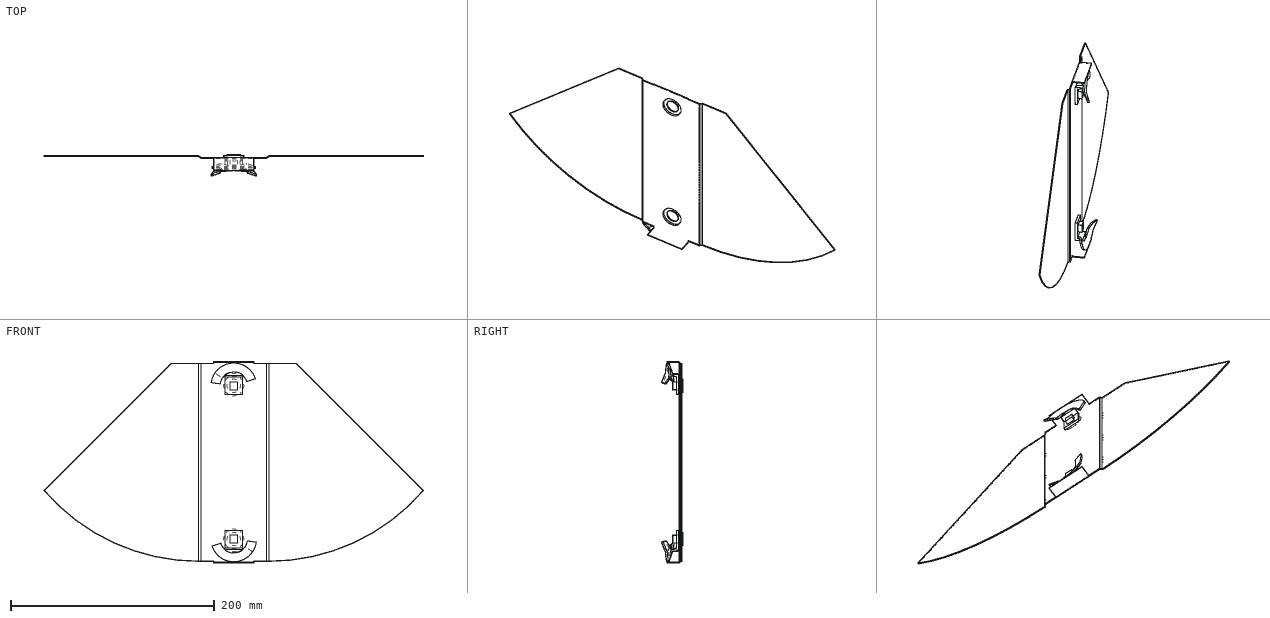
import cadquery as cq
import math

WIDTH = 373.5
TOTAL_HEIGHT = 198.5
SHEET = 1.0
JOGGLE = 2.0
PANEL_HALF = 32.5
BEND_RADIUS = 1.68
TOP_HALF = 61.5

FLANGE_WIDTH = 39.5
FLANGE_DEPTH = 12.7

HALF_HEIGHT = TOTAL_HEIGHT / 2
EDGE_Z = HALF_HEIGHT - BEND_RADIUS
WING_START = PANEL_HALF + JOGGLE
CORNER_Z = EDGE_Z - (WIDTH / 2 - TOP_HALF)

STUD_Z = 75.5
STUD_SIDE = 8.0
STUD_FRONT = 6.5
WASHER_RADIUS = 9.9
WASHER_HEIGHT = 2.0
RIVET_RADIUS = 6.55
RIVET_HEIGHT = 1.0

LEVER_SHEET = 2.2
LEVER_GAP = 0.5
LEVER_SIDE = 16.8
NECK_TOP = 12.5
NECK_ROOT = 8.78
NECK_REACH = 7.5
NECK_END = 14.0
NECK_RADIUS = 2.5
BLADE_INNER = 13.5
BLADE_OUTER = 22.5
BLADE_THICKNESS = 2.0
BLADE_SLOPE = 0.34
BLADE_BASE = 4.5
BLADE_PITCH = 11.0
BLADE_START = 18.0
FOLD_ANGLE = 146.0
TAB_END = 172.0
TAB_PITCH = 52.3


def sheet_blank():
    """Stepped sheet, cut to the fan-shaped outline."""
    far = WIDTH / 2
    front = [(-far, JOGGLE), (-WING_START, JOGGLE), (-PANEL_HALF, 0),
             (PANEL_HALF, 0), (WING_START, JOGGLE), (far, JOGGLE)]
    back = [(x, y + SHEET) for x, y in reversed(front)]
    stepped = (
        cq.Workplane("XY")
        .workplane(offset=-HALF_HEIGHT)
        .polyline(front + back)
        .close()
        .extrude(TOTAL_HEIGHT)
    )

    run = far - WING_START
    drop = CORNER_Z + EDGE_Z
    arc_radius = (run**2 + drop**2) / (2 * drop)
    half_angle = math.asin(run / arc_radius) / 2
    mid_x = WING_START + arc_radius * math.sin(half_angle)
    mid_z = -EDGE_Z + arc_radius * (1 - math.cos(half_angle))
    outline = (
        cq.Workplane("XZ")
        .moveTo(-TOP_HALF, EDGE_Z)
        .lineTo(TOP_HALF, EDGE_Z)
        .lineTo(far, CORNER_Z)
        .threePointArc((mid_x, mid_z), (WING_START, -EDGE_Z))
        .lineTo(-WING_START, -EDGE_Z)
        .threePointArc((-mid_x, mid_z), (-far, CORNER_Z))
        .close()
        .extrude(WIDTH, both=True)
    )
    return stepped.intersect(outline)


def top_flange():
    """Flange bent forward from the top edge of the centre panel."""
    tip = SHEET - FLANGE_DEPTH
    inner_radius = BEND_RADIUS - SHEET
    bend_y = SHEET - BEND_RADIUS
    diagonal = math.sqrt(0.5)
    return (
        cq.Workplane("YZ")
        .workplane(offset=-FLANGE_WIDTH / 2)
        .moveTo(SHEET, EDGE_Z)
        .threePointArc(
            (bend_y + BEND_RADIUS * diagonal, EDGE_Z + BEND_RADIUS * diagonal),
            (bend_y, HALF_HEIGHT),
        )
        .lineTo(tip, HALF_HEIGHT)
        .lineTo(tip, HALF_HEIGHT - SHEET)
        .lineTo(bend_y, HALF_HEIGHT - SHEET)
        .threePointArc(
            (bend_y + inner_radius * diagonal, EDGE_Z + inner_radius * diagonal),
            (0, EDGE_Z),
        )
        .close()
        .extrude(FLANGE_WIDTH)
    )


def make_top_stud():
    """Square stud through panel and lever, with a round washer and rivet head behind."""
    washer_back = SHEET + WASHER_HEIGHT
    square = (
        cq.Workplane("XY")
        .box(STUD_SIDE, STUD_FRONT + SHEET, STUD_SIDE)
        .translate((0, (SHEET - STUD_FRONT) / 2, STUD_Z))
    )
    washer = (
        cq.Workplane("XZ", origin=(0, SHEET, STUD_Z))
        .circle(WASHER_RADIUS)
        .extrude(-WASHER_HEIGHT)
    )
    rivet = (
        cq.Workplane("XZ", origin=(0, washer_back, STUD_Z))
        .circle(RIVET_RADIUS)
        .extrude(-RIVET_HEIGHT)
    )
    return square.union(washer).union(rivet)


def blade_section(start, end, pitch, base):
    """Sloping ring segment that climbs forward around the stud axis."""
    rise = pitch * (end - start) / 360
    radial = BLADE_OUTER - BLADE_INNER
    lift = BLADE_SLOPE * radial
    path = cq.Wire.makeHelix(pitch, rise, BLADE_INNER)
    return (
        cq.Workplane("XZ")
        .polyline([
            (BLADE_INNER, 0),
            (BLADE_OUTER, lift),
            (BLADE_OUTER, lift + BLADE_THICKNESS),
            (BLADE_INNER, BLADE_THICKNESS),
        ])
        .close()
        .sweep(cq.Workplane(path), isFrenet=True)
        .rotate((0, 0, 0), (0, 0, 1), start)
        .translate((0, 0, base))
    )


def make_top_lever():
    """Square plate, neck and twisted blade, formed from one strip.

    Built lying on its back with Z along the stud axis, then stood upright.
    """
    half = LEVER_SIDE / 2
    underside = NECK_TOP - LEVER_SHEET
    blade_back = BLADE_BASE + BLADE_PITCH * (90 - BLADE_START) / 360
    blade_front = blade_back + BLADE_THICKNESS
    neck = (
        cq.Workplane("YZ")
        .workplane(offset=-half)
        .polyline([
            (-half, 0),
            (NECK_TOP, 0),
            (NECK_TOP, NECK_REACH - LEVER_SHEET / 2),
            (NECK_END, blade_back),
            (NECK_END, blade_front),
            (underside, NECK_REACH),
            (NECK_ROOT, LEVER_SHEET),
            (-half, LEVER_SHEET),
        ])
        .close()
        .extrude(LEVER_SIDE)
        .edges(cq.selectors.NearestToPointSelector((0, NECK_TOP, 0)))
        .fillet(NECK_RADIUS)
        .intersect(cq.Workplane("XY").circle(NECK_END).extrude(blade_front))
    )

    fold_base = BLADE_BASE + BLADE_PITCH * (FOLD_ANGLE - BLADE_START) / 360
    blade = blade_section(BLADE_START, FOLD_ANGLE, BLADE_PITCH, BLADE_BASE)
    tab = blade_section(FOLD_ANGLE, TAB_END, TAB_PITCH, fold_base)

    stud_hole = cq.Workplane("XY").rect(STUD_SIDE, STUD_SIDE).extrude(LEVER_SHEET)
    return (
        neck.union(blade)
        .union(tab)
        .cut(stud_hole)
        .rotate((0, 0, 0), (1, 0, 0), 90)
        .translate((0, -LEVER_GAP, STUD_Z))
    )


def half_turn(body):
    """Turn a body of the top latch to its place at the bottom."""
    return body.rotate((0, 0, 0), (0, 1, 0), 180)


top_stud = make_top_stud()
top_lever = make_top_lever()
studs = [top_stud, half_turn(top_stud)]
levers = [top_lever, half_turn(top_lever)]

sheet = sheet_blank().union(top_flange()).union(half_turn(top_flange()))
for stud in studs:
    sheet = sheet.cut(stud)

result = cq.Compound.makeCompound([sheet.val()] + [body.val() for body in studs + levers])